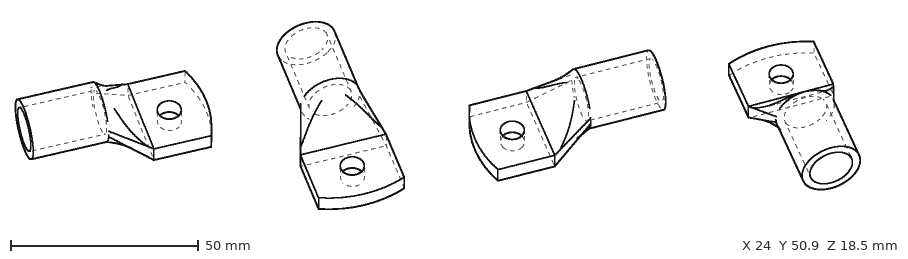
import cadquery as cq
import math

total_length = 50.9
barrel_diameter = 16.5
bore_diameter = 12.0
barrel_length = 21.05
palm_length = 18.4
palm_width = 24.0
palm_thickness = 4.6
palm_drop = 2.0
tip_rise = 2.4
hole_diameter = 6.4
hole_from_tip = 10.45

flank_angle = 8.0
sag_points = [(2.8, 3.8), (6.35, 9.6), (9.05, 12.35)]

barrel_radius = barrel_diameter / 2
palm_start = total_length - palm_length
palm_bottom = -barrel_radius - palm_drop
palm_top = palm_bottom + palm_thickness


def plane_across(y):
    """Plane square to the barrel axis, facing the palm tip."""
    return cq.Plane(origin=(0, y, 0), xDir=(-1, 0, 0), normal=(0, 1, 0))


def rim_point(angle):
    """Point on the inner end of the barrel, at an angle in degrees from +X towards +Z."""
    turn = math.radians(angle)
    return cq.Vector(barrel_radius * math.cos(turn), barrel_length, barrel_radius * math.sin(turn))


def rim_arc(start, end):
    """Arc of the barrel's inner end between two angles."""
    return cq.Edge.makeThreePointArc(rim_point(start), rim_point((start + end) / 2), rim_point(end))


def make_barrel():
    return cq.Workplane(plane_across(0)).circle(barrel_radius).extrude(barrel_length)


def make_neck_sag():
    """Material above the S-shaped top line of the neck, across its full width."""
    top_line = [(barrel_length + distance, barrel_radius - drop) for distance, drop in sag_points]
    return (
        cq.Workplane("YZ")
        .moveTo(barrel_length, barrel_radius)
        .spline(top_line + [(palm_start, palm_top)], includeCurrent=True)
        .lineTo(palm_start, barrel_radius)
        .close()
        .extrude(palm_width / 2, both=True)
    )


def make_neck():
    """Ruled transition from the round barrel to the flat palm, with a sagging top."""
    half_width = palm_width / 2
    palm_corners = [
        cq.Vector(half_width, palm_start, palm_bottom),
        cq.Vector(half_width, palm_start, palm_top),
        cq.Vector(-half_width, palm_start, palm_top),
        cq.Vector(-half_width, palm_start, palm_bottom),
    ]
    rim_angles = [-flank_angle, flank_angle, 180 - flank_angle, 180 + flank_angle, 360 - flank_angle]
    palm_edges = []
    rim_arcs = []
    for i, corner in enumerate(palm_corners):
        palm_edges.append(cq.Edge.makeLine(corner, palm_corners[(i + 1) % 4]))
        rim_arcs.append(rim_arc(rim_angles[i], rim_angles[i + 1]))

    faces = [cq.Face.makeRuledSurface(arc, edge) for arc, edge in zip(rim_arcs, palm_edges)]
    faces.append(cq.Face.makeFromWires(cq.Wire.assembleEdges(rim_arcs)))
    faces.append(cq.Face.makeFromWires(cq.Wire.assembleEdges(palm_edges)))
    neck = cq.Workplane(cq.Solid.makeSolid(cq.Shell.makeShell(faces)).fix())
    return neck.cut(make_neck_sag())


def make_palm():
    """Flat plate with an arched tip and a stud hole."""
    half_width = palm_width / 2
    corner_y = total_length - tip_rise
    plate = (
        cq.Workplane("XY", origin=(0, 0, palm_bottom))
        .moveTo(-half_width, palm_start)
        .lineTo(half_width, palm_start)
        .lineTo(half_width, corner_y)
        .threePointArc((0, total_length), (-half_width, corner_y))
        .close()
        .extrude(palm_thickness)
    )
    hole = (
        cq.Workplane("XY", origin=(0, total_length - hole_from_tip, palm_bottom))
        .circle(hole_diameter / 2)
        .extrude(palm_thickness)
    )
    return plate.cut(hole)


def make_bore():
    """Blind wire bore, as deep as the barrel is long."""
    return cq.Workplane(plane_across(0)).circle(bore_diameter / 2).extrude(barrel_length)


result = make_barrel().union(make_neck()).union(make_palm()).cut(make_bore())